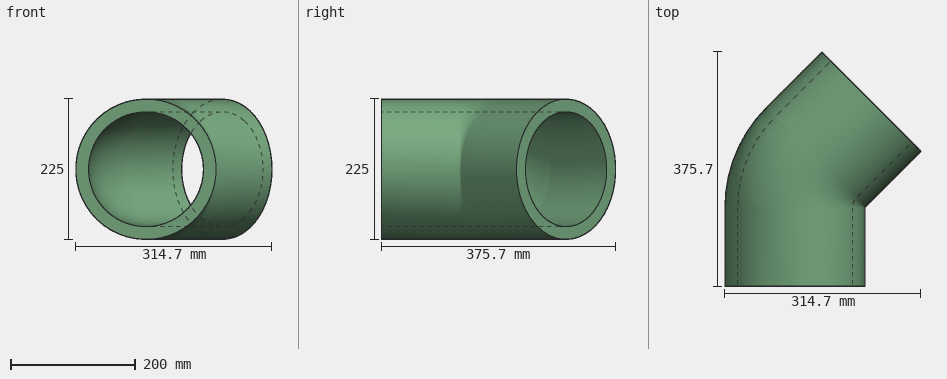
import cadquery as cq
import math

outer_diameter = 225.0
inner_diameter = 184.0
bend_angle = 45.0
bend_radius = 114.5
overall_length = 375.7

sin_bend = math.sin(math.radians(bend_angle))
cos_bend = math.cos(math.radians(bend_angle))
end_length = (overall_length - (bend_radius + outer_diameter / 2) * sin_bend) / (1 + cos_bend)


def centreline():
    """Straight run along +Y, bend towards +X, then the second straight run."""
    half_angle = math.radians(bend_angle / 2)
    bend_middle = (
        bend_radius * (1 - math.cos(half_angle)),
        end_length + bend_radius * math.sin(half_angle),
    )
    bend_end = (
        bend_radius * (1 - cos_bend),
        end_length + bend_radius * sin_bend,
    )
    far_end = (
        bend_end[0] + end_length * sin_bend,
        bend_end[1] + end_length * cos_bend,
    )
    return (
        cq.Workplane("XY")
        .lineTo(0, end_length)
        .threePointArc(bend_middle, bend_end)
        .lineTo(*far_end)
    )


result = (
    cq.Workplane("XZ")
    .circle(outer_diameter / 2)
    .circle(inner_diameter / 2)
    .sweep(centreline())
)